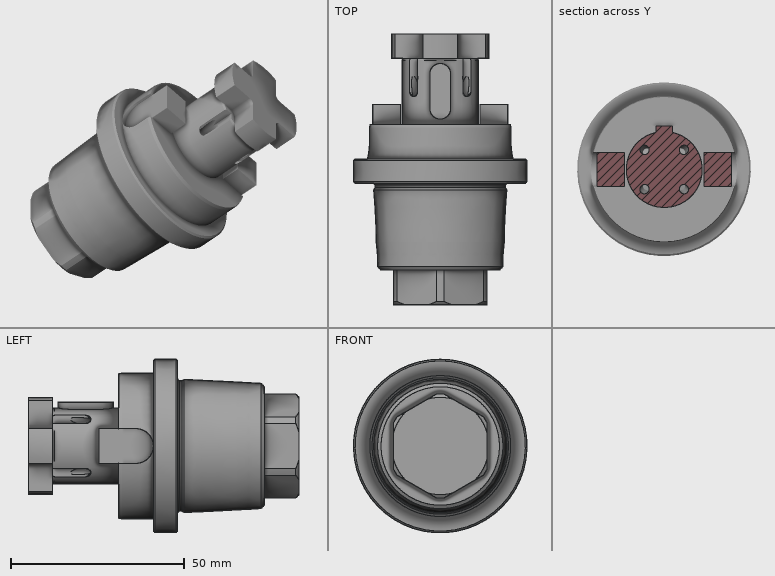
import cadquery as cq
import math


FLANGE_R = 25.0
FLANGE_BACK_Y = 7.0
FLANGE_CHAMFER = 0.5
RECESS_RIM_R = 20.3
RECESS_FLOOR_R = 19.65
RECESS_DEPTH = 0.4
GROOVE_R = 18.8
GROOVE_BACK_Y = -0.5
GROOVE_FRONT_Y = -1.2
TAPER_BACK_R = 19.2
TAPER_BACK_Y = -1.9
TAPER_MID_R = 18.45
TAPER_MID_Y = -17.0
TAPER_FRONT_R = 18.05
BODY_FRONT_Y = -25.0
BODY_CHAMFER = 1.0

HUB_R = 21.0
HUB_BACK_Y = 17.0
HUB_BEVEL_LENGTH = 1.0
HUB_BEVEL_DEPTH = 0.2

NECK_R = 11.0
NECK_BEVEL_LENGTH = 0.6
NECK_BEVEL_DEPTH = 0.2
HEAD_R = 14.0
HEAD_LENGTH = 7.0
HEAD_BACK_Y = 43.0
HEAD_FRONT_Y = HEAD_BACK_Y - HEAD_LENGTH
ARM_HALF_WIDTH = 5.0
ARM_FILLET = 1.5

SLOT_CORNER = ARM_HALF_WIDTH + ARM_FILLET
SLOT_FRONT_Y = 25.0
SLOT_COUNT = 4

COOLANT_D = 2.5
COOLANT_TILT = 15.0
COOLANT_EXIT_Y = 30.8
COOLANT_EXIT_R = math.sqrt(2) * (SLOT_CORNER + COOLANT_D / 2)
COOLANT_LENGTH = 16.0

KEY_WIDTH = 6.0
KEY_LENGTH = 16.0
KEY_CENTRE_Y = 26.5
KEY_TOP_Z = 12.6

LUG_INNER_X = 11.4
LUG_OUTER_X = 19.5
LUG_WIDTH = 10.0
LUG_BACK_Y = 22.7

HEX_ACROSS_FLATS = 27.0
HEX_TURNED_R = 15.0
HEX_CHAMFER = 1.0
HEX_LENGTH = 10.0
HEX_FRONT_Y = BODY_FRONT_Y - HEX_LENGTH


def revolve_profile(points):
    """Revolve a closed (radius, y) outline about the Y axis."""
    outline = cq.Workplane("YZ").polyline([(y, radius) for radius, y in points]).close()
    return outline.revolve(360, (0, 0, 0), (1, 0, 0))


def workplane_facing_back(front_y):
    """Workplane normal to +Y, with local x to -X and local y to +Z."""
    return cq.Workplane("XZ", origin=(0, front_y, 0)).transformed(rotate=(0, 180, 0))


def make_body():
    neck_bevel_y = HEAD_FRONT_Y - NECK_BEVEL_LENGTH
    hub_bevel_y = HUB_BACK_Y - HUB_BEVEL_LENGTH
    return revolve_profile([
        (0, BODY_FRONT_Y),
        (TAPER_FRONT_R - BODY_CHAMFER, BODY_FRONT_Y),
        (TAPER_FRONT_R, BODY_FRONT_Y + BODY_CHAMFER),
        (TAPER_MID_R, TAPER_MID_Y),
        (TAPER_BACK_R, TAPER_BACK_Y),
        (GROOVE_R, GROOVE_FRONT_Y),
        (GROOVE_R, GROOVE_BACK_Y),
        (RECESS_FLOOR_R, RECESS_DEPTH),
        (RECESS_RIM_R, RECESS_DEPTH),
        (RECESS_RIM_R, 0),
        (FLANGE_R - FLANGE_CHAMFER, 0),
        (FLANGE_R, FLANGE_CHAMFER),
        (FLANGE_R, FLANGE_BACK_Y - FLANGE_CHAMFER),
        (FLANGE_R - FLANGE_CHAMFER, FLANGE_BACK_Y),
        (HUB_R, FLANGE_BACK_Y),
        (HUB_R, hub_bevel_y),
        (HUB_R - HUB_BEVEL_DEPTH, HUB_BACK_Y),
        (NECK_R, HUB_BACK_Y),
        (NECK_R, neck_bevel_y),
        (NECK_R - NECK_BEVEL_DEPTH, HEAD_FRONT_Y),
        (0, HEAD_FRONT_Y),
    ])


def make_hex():
    corner_diameter = HEX_ACROSS_FLATS / math.cos(math.pi / 6)
    prism = (
        workplane_facing_back(HEX_FRONT_Y)
        .transformed(rotate=(0, 0, 90))
        .polygon(6, corner_diameter)
        .extrude(HEX_LENGTH)
    )
    turned = revolve_profile([
        (0, HEX_FRONT_Y),
        (HEX_TURNED_R - HEX_CHAMFER, HEX_FRONT_Y),
        (HEX_TURNED_R, HEX_FRONT_Y + HEX_CHAMFER),
        (HEX_TURNED_R, BODY_FRONT_Y),
        (0, BODY_FRONT_Y),
    ])
    return prism.intersect(turned)


def make_head():
    arm_width = 2 * ARM_HALF_WIDTH
    arm_span = 3 * HEAD_R
    plane = workplane_facing_back(HEAD_FRONT_Y)
    across = plane.rect(arm_span, arm_width).extrude(HEAD_LENGTH)
    upright = plane.rect(arm_width, arm_span).extrude(HEAD_LENGTH)
    inner_corners = cq.selectors.BoxSelector(
        (-HEAD_R / 2, HEAD_FRONT_Y, -HEAD_R / 2),
        (HEAD_R / 2, HEAD_BACK_Y, HEAD_R / 2),
    )
    cross = across.union(upright).edges("|Y").edges(inner_corners).fillet(ARM_FILLET)
    return cross.intersect(plane.circle(HEAD_R).extrude(HEAD_LENGTH))


def make_corner_slot():
    """Cutter for the slot in the +X +Z corner, rounded at its front end."""
    reach = NECK_R
    length = HEAD_FRONT_Y - SLOT_FRONT_Y
    corner = cq.Workplane("XY").box(reach, length, reach, centered=False)
    corner = corner.translate((SLOT_CORNER, SLOT_FRONT_Y, SLOT_CORNER))

    surface_far = math.sqrt(NECK_R**2 - SLOT_CORNER**2)
    end_r = (surface_far - SLOT_CORNER) / math.sqrt(2)
    envelope = (
        cq.Workplane("XY", origin=(0, SLOT_FRONT_Y, 0))
        .moveTo(-end_r, length)
        .lineTo(-end_r, end_r)
        .threePointArc((0, 0), (end_r, end_r))
        .lineTo(end_r, length)
        .close()
        .extrude(2 * NECK_R)
        .rotate((0, 0, 0), (0, 1, 0), 45)
    )
    return corner.intersect(envelope)


def make_coolant_hole():
    """Cutter running inward and forward from the +X +Z corner slot."""
    tilt = math.radians(COOLANT_TILT)
    inward = -math.sin(tilt) / math.sqrt(2)
    exit_offset = COOLANT_EXIT_R / math.sqrt(2)
    axis = cq.Vector(inward, -math.cos(tilt), inward)
    exit_point = cq.Vector(exit_offset, COOLANT_EXIT_Y, exit_offset)
    return cq.Workplane(cq.Solid.makeCylinder(COOLANT_D / 2, COOLANT_LENGTH, exit_point, axis))


def cut_corner_slots(part):
    slot = make_corner_slot()
    hole = make_coolant_hole()
    for index in range(SLOT_COUNT):
        turn = index * 360 / SLOT_COUNT
        part = part.cut(slot.rotate((0, 0, 0), (0, 1, 0), turn))
        part = part.cut(hole.rotate((0, 0, 0), (0, 1, 0), turn))
    return part


def make_key():
    return (
        cq.Workplane("XY", origin=(0, KEY_CENTRE_Y, 0))
        .slot2D(KEY_LENGTH, KEY_WIDTH, 90)
        .extrude(KEY_TOP_Z)
    )


def fit_lug(part, side):
    """Mill a round-ended slot into one side of the hub and seat a lug in it."""
    half = LUG_WIDTH / 2

    def lug_prism(inner_x, outer_x):
        return (
            cq.Workplane("YZ", origin=(side * inner_x, 0, 0))
            .moveTo(LUG_BACK_Y, -half)
            .lineTo(FLANGE_BACK_Y + half, -half)
            .threePointArc((FLANGE_BACK_Y, 0), (FLANGE_BACK_Y + half, half))
            .lineTo(LUG_BACK_Y, half)
            .close()
            .extrude(side * (outer_x - inner_x))
        )

    return part.cut(lug_prism(LUG_OUTER_X, FLANGE_R)).union(lug_prism(LUG_INNER_X, LUG_OUTER_X))


result = cut_corner_slots(make_body())
result = result.union(make_head()).union(make_hex()).union(make_key())
for lug_side in (-1, 1):
    result = fit_lug(result, lug_side)